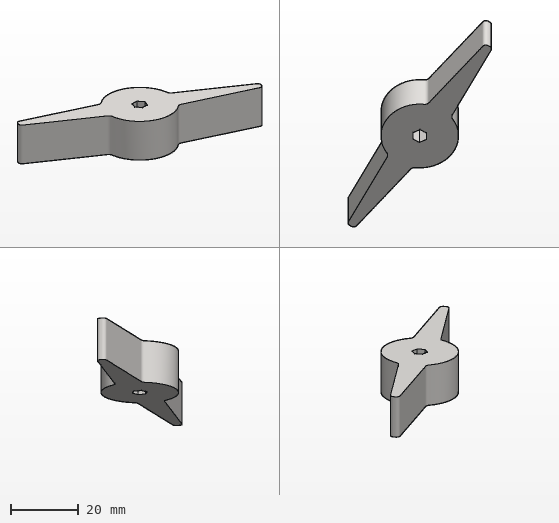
import cadquery as cq

length = 76.2
height = 12.7
hub_radius = 11.4

tip_width = 2.7
centre_width = 10.5
tip_fillet = 1.2
root_fillet = 1.5

hex_across_corners = 4.6

margin = 0.8


def double_blade():
    """Two tapered blades joined across the hub centre."""
    tip = length / 2
    half_tip = tip_width / 2
    half_centre = centre_width / 2
    outline = [
        (half_centre, 0),
        (half_tip, tip),
        (-half_tip, tip),
        (-half_centre, 0),
        (-half_tip, -tip),
        (half_tip, -tip),
    ]
    return cq.Workplane("XY").polyline(outline).close().extrude(height)


def edges_in_band(near, far):
    """Select edges whose distance from the X axis lies in the band."""
    upper = cq.selectors.BoxSelector((-hub_radius, near, -margin), (hub_radius, far, height + margin))
    lower = cq.selectors.BoxSelector((-hub_radius, -far, -margin), (hub_radius, -near, height + margin))
    return upper + lower


hub = cq.Workplane("XY").circle(hub_radius).extrude(height)
body = hub.union(double_blade())

body = body.edges("|Z").edges(edges_in_band(length / 2 - margin, length / 2 + margin)).fillet(tip_fillet)
body = body.edges("|Z").edges(edges_in_band(hub_radius / 2, hub_radius)).fillet(root_fillet)

hex_hole = cq.Workplane("XY").polygon(6, hex_across_corners).extrude(height)

result = body.cut(hex_hole)